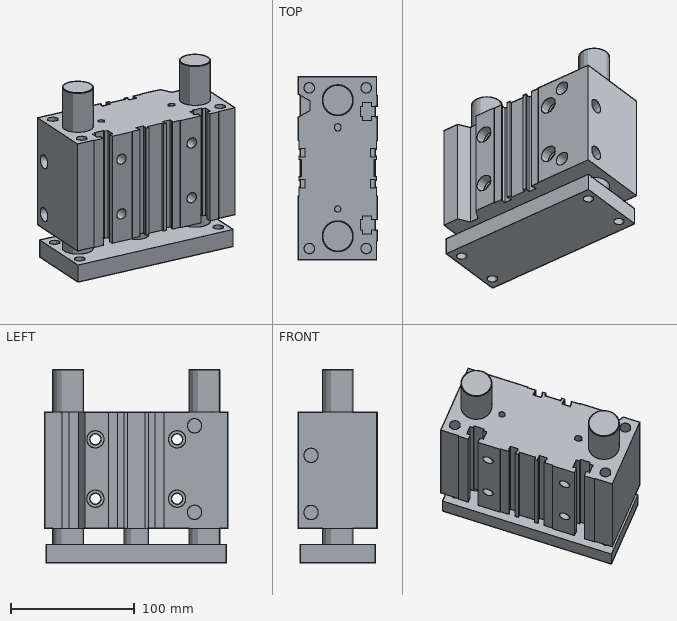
import cadquery as cq


total_height = 156.5
plate_thickness = 15.0
housing_bottom = 28.0
housing_top = 121.9
housing_height = housing_top - housing_bottom

housing_length = 148.0
housing_width = 64.0
outer_face_x = housing_width / 2
stepped_face_x = 31.5
middle_step_half_length = 22.5
end_step_start_y = 58.7

guide_diameter = 25.0
guide_spacing = 110.0
guide_chamfer = 0.5
piston_rod_diameter = 20.0
plate_width = 60.9
plate_length = 145.9

groove_center_y = 50.5
groove_mouth_width = 18.6
groove_floor_width = 7.8
groove_floor_x = 22.4

sensor_slot_y = 12.5
sensor_neck_width = 5.5
sensor_slot_width = 6.7
sensor_neck_end_x = 30.0
sensor_slot_end_x = 26.5
recess_width = 13.8
recess_floor_x = 29.1

t_slot_y = 45.9
t_slot_mouth_width = 8.5
t_slot_head_width = 14.4
t_slot_lip_x = 27.4
t_slot_head_end_x = 20.0
t_slot_relief_end_x = 18.3

corner_hole_diameter = 8.5
corner_hole_spacing_y = 129.9
housing_corner_hole_spacing_x = 46.0
plate_corner_hole_spacing_x = 40.0
housing_corner_hole_depth = 21.9

locating_hole_diameter = 5.0
locating_slot_length = 6.0
locating_hole_spacing = 66.0
locating_hole_depth = 9.4

mount_hole_diameter = 8.8
mount_counterbore_diameter = 14.0
mount_counterbore_depth = 8.8
mount_hole_spacing_y = 66.0
mount_hole_heights = (52.0, 100.0)

port_diameter = 11.6
port_depth = 11.0
side_port_y = -47.1
side_port_heights = (41.0, 111.0)
end_port_x = -21.6
end_port_heights = (40.8, 87.0)


def box_between(x_start, x_end, center_y, width):
    """Full-height box from x_start to x_end, centred on center_y."""
    return (
        cq.Workplane("XY", origin=((x_start + x_end) / 2, center_y, housing_bottom))
        .box(abs(x_end - x_start), width, housing_height, centered=(True, True, False))
    )


def cylinder(start, direction, diameter, length):
    """Solid cylinder that runs from the start point along the direction."""
    return cq.Workplane(
        cq.Solid.makeCylinder(diameter / 2, length, cq.Vector(*start), cq.Vector(*direction))
    )


def corner_points(spacing_x):
    """Corner hole places, as (x, y) pairs."""
    return [
        (side * spacing_x / 2, end * corner_hole_spacing_y / 2)
        for side in (-1, 1)
        for end in (-1, 1)
    ]


def cut_face_steps(body):
    middle_step_length = 2 * middle_step_half_length
    for side in (-1, 1):
        body = body.cut(box_between(side * stepped_face_x, side * outer_face_x, 0, middle_step_length))
    end_step_length = housing_length / 2 - end_step_start_y
    for end in (-1, 1):
        end_step_y = end * (end_step_start_y + end_step_length / 2)
        body = body.cut(box_between(stepped_face_x, outer_face_x, end_step_y, end_step_length))
    return body


def cut_open_groove(body):
    groove = (
        cq.Workplane("XY", origin=(0, groove_center_y, housing_bottom))
        .polyline([
            (-outer_face_x, -groove_mouth_width / 2),
            (-groove_floor_x, -groove_floor_width / 2),
            (-groove_floor_x, groove_floor_width / 2),
            (-outer_face_x, groove_mouth_width / 2),
        ])
        .close()
        .extrude(housing_height)
    )
    return body.cut(groove)


def cut_sensor_slots(body):
    for side in (-1, 1):
        face_x = side * outer_face_x
        neck_end_x = side * sensor_neck_end_x
        body = body.cut(box_between(face_x, side * recess_floor_x, 0, recess_width))
        for end in (-1, 1):
            slot_y = end * sensor_slot_y
            body = body.cut(box_between(face_x, neck_end_x, slot_y, sensor_neck_width))
            body = body.cut(box_between(neck_end_x, side * sensor_slot_end_x, slot_y, sensor_slot_width))
    return body


def cut_t_slots(body):
    for end in (-1, 1):
        slot_y = end * t_slot_y
        body = body.cut(box_between(outer_face_x, t_slot_relief_end_x, slot_y, t_slot_mouth_width))
        body = body.cut(box_between(t_slot_lip_x, t_slot_head_end_x, slot_y, t_slot_head_width))
    return body


def cut_top_holes(body):
    for x, y in corner_points(housing_corner_hole_spacing_x):
        body = body.cut(
            cylinder((x, y, housing_top), (0, 0, -1), corner_hole_diameter, housing_corner_hole_depth)
        )
    hole_start = (0, -locating_hole_spacing / 2, housing_top)
    body = body.cut(cylinder(hole_start, (0, 0, -1), locating_hole_diameter, locating_hole_depth))
    slot = (
        cq.Workplane("XY", origin=(0, locating_hole_spacing / 2, housing_top))
        .slot2D(locating_slot_length, locating_hole_diameter, 90)
        .extrude(-locating_hole_depth)
    )
    return body.cut(slot)


def cut_mounting_holes(body):
    for z in mount_hole_heights:
        for end in (-1, 1):
            start = (-outer_face_x, end * mount_hole_spacing_y / 2, z)
            body = body.cut(cylinder(start, (1, 0, 0), mount_hole_diameter, 2 * outer_face_x))
            body = body.cut(cylinder(start, (1, 0, 0), mount_counterbore_diameter, mount_counterbore_depth))
    return body


def cut_ports(body):
    for z in side_port_heights:
        start = (-outer_face_x, side_port_y, z)
        body = body.cut(cylinder(start, (1, 0, 0), port_diameter, port_depth))
    for z in end_port_heights:
        start = (end_port_x, -housing_length / 2, z)
        body = body.cut(cylinder(start, (0, 1, 0), port_diameter, port_depth))
    return body


def cut_guide_bores(body):
    for end in (-1, 1):
        start = (0, end * guide_spacing / 2, housing_bottom)
        body = body.cut(cylinder(start, (0, 0, 1), guide_diameter, housing_height))
    return body


def make_housing():
    body = box_between(-outer_face_x, outer_face_x, 0, housing_length)
    body = cut_face_steps(body)
    body = cut_open_groove(body)
    body = cut_sensor_slots(body)
    body = cut_t_slots(body)
    body = cut_top_holes(body)
    body = cut_mounting_holes(body)
    body = cut_ports(body)
    return cut_guide_bores(body)


def make_guide_rod(y):
    rod_length = total_height - plate_thickness
    rod = cylinder((0, y, plate_thickness), (0, 0, 1), guide_diameter, rod_length)
    return rod.faces(">Z").chamfer(guide_chamfer)


def make_carriage():
    """Plate with its two guide rods and the piston rod, which ends at the housing underside."""
    carriage = cq.Workplane("XY").rect(plate_width, plate_length).extrude(plate_thickness)
    for x, y in corner_points(plate_corner_hole_spacing_x):
        carriage = carriage.cut(cylinder((x, y, 0), (0, 0, 1), corner_hole_diameter, plate_thickness))
    for end in (-1, 1):
        carriage = carriage.union(make_guide_rod(end * guide_spacing / 2))
    piston_rod_length = housing_bottom - plate_thickness
    piston_rod = cylinder((0, 0, plate_thickness), (0, 0, 1), piston_rod_diameter, piston_rod_length)
    return carriage.union(piston_rod)


housing = make_housing()
carriage = make_carriage()

result = cq.Compound.makeCompound([housing.solids().val(), carriage.solids().val()])